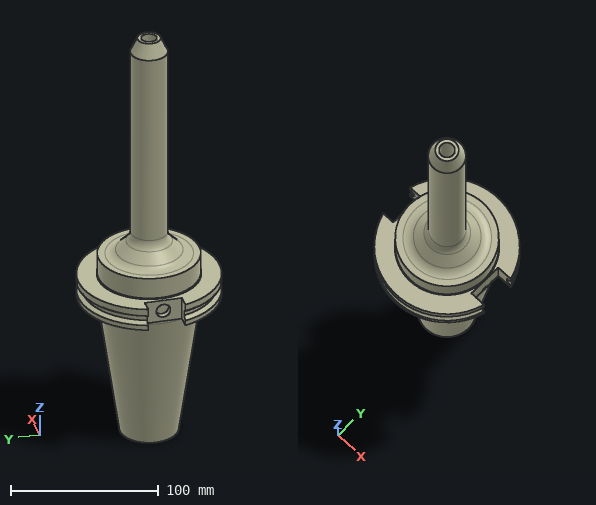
import cadquery as cq
import math

taper_length = 101.5
gauge_radius = 35.0
taper_ratio = 7 / 24
tip_radius = gauge_radius - taper_length * taper_ratio / 2

flange_diameter = 98.5
flange_radius = flange_diameter / 2
gauge_to_flange = 3.5
flange_bottom = taper_length + gauge_to_flange
flange_height = 16.2
flange_top = flange_bottom + flange_height
groove_floor_radius = 45.7
lower_rim_height = 3.7
groove_bottom = flange_bottom + lower_rim_height
groove_floor_height = 3.5
groove_flank_angle = 30
groove_flank_height = (flange_radius - groove_floor_radius) * math.tan(math.radians(groove_flank_angle))
groove_floor_bottom = groove_bottom + groove_flank_height
groove_floor_top = groove_floor_bottom + groove_floor_height
groove_top = groove_floor_top + groove_flank_height

collar_radius = gauge_radius
collar_top = 137.0
step_width = 0.45
step_radius = collar_radius + step_width
step_height = 0.5

total_height = 304.8
nose_radius = 12.8
nose_tip_radius = 8.0
nose_tip_height = 10.5
blend_radius = 10.0
cone_outer_radius = 23.0
cone_angle = math.radians(45)
blend_run = blend_radius * math.sin(cone_angle)
blend_rise = blend_radius - blend_run
cone_inner_radius = nose_radius + blend_rise
cone_bottom = collar_top + blend_rise
cone_top = cone_bottom + cone_outer_radius - cone_inner_radius
mid_long = blend_radius * math.sin(cone_angle / 2)
mid_short = blend_radius * (1 - math.cos(cone_angle / 2))

slot_width = 26.0
left_slot_floor = 38.0
right_slot_floor = 35.7
side_hole_radius = 5.0
side_hole_depth = 4.5
bore_diameter = 10.7
bore_depth = 45.7


def turned_body():
    """Revolve the half outline of the whole holder about Z."""
    foot_blend_start = cone_outer_radius + blend_run
    nose_blend_end = cone_top + blend_run
    outline = (
        cq.Workplane("XZ")
        .moveTo(0, 0)
        .lineTo(tip_radius, 0)
        .lineTo(gauge_radius, taper_length)
        .lineTo(gauge_radius, flange_bottom)
        .lineTo(flange_radius, flange_bottom)
        .lineTo(flange_radius, groove_bottom)
        .lineTo(groove_floor_radius, groove_floor_bottom)
        .lineTo(groove_floor_radius, groove_floor_top)
        .lineTo(flange_radius, groove_top)
        .lineTo(flange_radius, flange_top)
        .lineTo(step_radius, flange_top)
        .lineTo(step_radius, flange_top + step_height)
        .lineTo(collar_radius, flange_top + step_height)
        .lineTo(collar_radius, collar_top)
        .lineTo(foot_blend_start, collar_top)
        .threePointArc(
            (foot_blend_start - mid_long, collar_top + mid_short),
            (cone_outer_radius, cone_bottom),
        )
        .lineTo(cone_inner_radius, cone_top)
        .threePointArc(
            (nose_radius + mid_short, nose_blend_end - mid_long),
            (nose_radius, nose_blend_end),
        )
        .lineTo(nose_radius, total_height - nose_tip_height)
        .lineTo(nose_tip_radius, total_height)
        .lineTo(0, total_height)
        .close()
    )
    return outline.revolve(360, (0, 0, 0), (0, 1, 0))


def drive_slot(side, floor):
    """Block cutting the flange outward from the slot floor; side is -1 or +1 along X."""
    depth = flange_radius - floor
    return (
        cq.Workplane("XY", origin=(side * (floor + depth / 2), 0, flange_bottom))
        .rect(depth, slot_width)
        .extrude(flange_height)
    )


def side_hole():
    """Blind hole in the floor of the -X slot, at mid height of the flange."""
    center = (-left_slot_floor, 0, flange_bottom + flange_height / 2)
    return cq.Workplane("YZ", origin=center).circle(side_hole_radius).extrude(side_hole_depth)


def nose_bore():
    """Blind bore in the end of the nose."""
    bottom = (0, 0, total_height - bore_depth)
    return cq.Workplane("XY", origin=bottom).circle(bore_diameter / 2).extrude(bore_depth)


result = (
    turned_body()
    .cut(drive_slot(-1, left_slot_floor))
    .cut(drive_slot(1, right_slot_floor))
    .cut(side_hole())
    .cut(nose_bore())
)